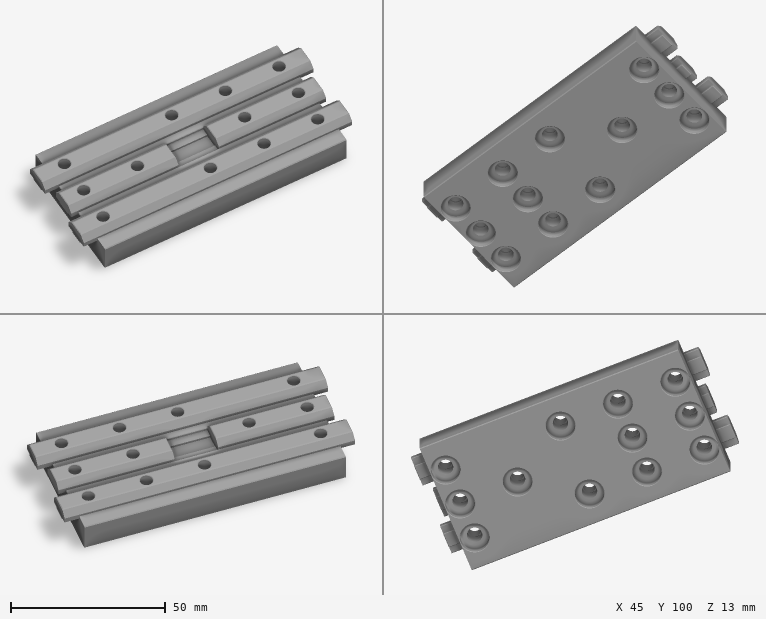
import cadquery as cq

BASE_WIDTH = 45.0
BASE_LENGTH = 90.0
BASE_HEIGHT = 10.0
BASE_CHAMFER = 0.3

RAIL_WIDTH = 10.0
RAIL_TOP_Z = 13.0
RAIL_SEAT_Z = 8.8
RAIL_FLANK_RUN = 2.2
RAIL_TOP_CHAMFER = 0.25
RAIL_BOTTOM_CHAMFER = 0.2
KEY_WIDTH = 5.0
KEY_BOTTOM_Z = 8.0

SIDE_RAIL_LENGTH = 100.0
SIDE_RAIL_X = 12.5
SIDE_HOLES_Y = (-40.0, 0.0, 20.0, 40.0)
MIDDLE_RAIL_LENGTH = 40.0
MIDDLE_RAIL_GAP = 15.0
MIDDLE_RAIL_Y = (MIDDLE_RAIL_GAP + MIDDLE_RAIL_LENGTH) / 2
MIDDLE_HOLES_Y = (20.0, 40.0)

LAND_CHAMFER = 0.2

TAPPED_DIAMETER = 4.2
TAPPED_MOUTH_CHAMFER = 0.2
CLEARANCE_DIAMETER = 5.0
HEAD_DIAMETER = 9.5
HEAD_DEPTH = 3.0
HEAD_EDGE_CHAMFER = 0.2


def extrude_section(upper_right_points, x, y, length):
    """Extrude along Y a section symmetric about x that has the rail underside and the given upper points."""
    half = RAIL_WIDTH / 2
    key = KEY_WIDTH / 2
    right_side = [
        (key, KEY_BOTTOM_Z),
        (key, RAIL_SEAT_Z),
        (half - RAIL_BOTTOM_CHAMFER, RAIL_SEAT_Z),
        (half, RAIL_SEAT_Z + RAIL_BOTTOM_CHAMFER),
    ] + upper_right_points
    left_side = [(-px, pz) for px, pz in reversed(right_side)]
    section = cq.Workplane("XZ").polyline(right_side + left_side).close()
    return section.extrude(length / 2, both=True).translate((x, y, 0))


def cone_cut(body, places, z, start_diameter, depth, end_diameter):
    """Cut a cone at each place, from z up (positive depth) or down (negative depth)."""
    direction = cq.Vector(0, 0, 1 if depth > 0 else -1)
    for x, y in places:
        cone = cq.Solid.makeCone(
            start_diameter / 2, end_diameter / 2, abs(depth), cq.Vector(x, y, z), direction
        )
        body = body.cut(cq.Workplane(obj=cone))
    return body


def drill(body, places, diameter, bottom_z, top_z):
    """Cut a vertical cylinder between two heights at each place."""
    cutter = (
        cq.Workplane("XY", origin=(0, 0, bottom_z))
        .pushPoints(places)
        .circle(diameter / 2)
        .extrude(top_z - bottom_z)
    )
    return body.cut(cutter)


def make_rail(x, y, length, holes_y):
    """Make a rail with sloping flanks, a key underneath and chamfered through holes."""
    half = RAIL_WIDTH / 2
    flank = [
        (half, RAIL_TOP_Z - RAIL_FLANK_RUN),
        (half - RAIL_FLANK_RUN, RAIL_TOP_Z),
    ]
    rail = extrude_section(flank, x, y, length)
    rail = rail.faces(">Z").edges().chamfer(RAIL_TOP_CHAMFER)
    rail = rail.faces("<Z").edges().chamfer(RAIL_BOTTOM_CHAMFER)

    places = [(x, hole_y) for hole_y in holes_y]
    rail = drill(rail, places, TAPPED_DIAMETER, KEY_BOTTOM_Z, RAIL_TOP_Z)
    mouth_diameter = TAPPED_DIAMETER + 2 * TAPPED_MOUTH_CHAMFER
    return cone_cut(rail, places, RAIL_TOP_Z, mouth_diameter, -TAPPED_MOUTH_CHAMFER, TAPPED_DIAMETER)


def cut_seat(base, x):
    """Cut a full-length rail seat with a key groove in its floor."""
    wall_top = [(RAIL_WIDTH / 2, BASE_HEIGHT)]
    return base.cut(extrude_section(wall_top, x, 0, BASE_LENGTH))


def make_base(places):
    """Make the plate with three rail seats and counterbored screw holes from below."""
    base = cq.Workplane("XY").box(BASE_WIDTH, BASE_LENGTH, BASE_HEIGHT, centered=(True, True, False))
    base = base.edges("|Y").chamfer(BASE_CHAMFER)
    for x in (-SIDE_RAIL_X, 0, SIDE_RAIL_X):
        base = cut_seat(base, x)
    for x in (-SIDE_RAIL_X / 2, SIDE_RAIL_X / 2):
        land_top = cq.selectors.NearestToPointSelector((x, 0, BASE_HEIGHT))
        base = base.faces(land_top).edges().chamfer(LAND_CHAMFER)
    base = drill(base, places, CLEARANCE_DIAMETER, 0, BASE_HEIGHT)
    base = drill(base, places, HEAD_DIAMETER, 0, HEAD_DEPTH)
    rim_diameter = HEAD_DIAMETER + 2 * HEAD_EDGE_CHAMFER
    return cone_cut(base, places, 0, rim_diameter, HEAD_EDGE_CHAMFER, HEAD_DIAMETER)


side_places = [(x, y) for x in (-SIDE_RAIL_X, SIDE_RAIL_X) for y in SIDE_HOLES_Y]
middle_places = [(0, side * y) for side in (-1, 1) for y in MIDDLE_HOLES_Y]
base = make_base(side_places + middle_places)

side_rails = []
for x in (-SIDE_RAIL_X, SIDE_RAIL_X):
    side_rails.append(make_rail(x, 0, SIDE_RAIL_LENGTH, SIDE_HOLES_Y))

middle_rails = []
for side in (-1, 1):
    holes_y = [side * y for y in MIDDLE_HOLES_Y]
    middle_rails.append(make_rail(0, side * MIDDLE_RAIL_Y, MIDDLE_RAIL_LENGTH, holes_y))

rails = side_rails + middle_rails
result = cq.Compound.makeCompound([base.val()] + [rail.val() for rail in rails])